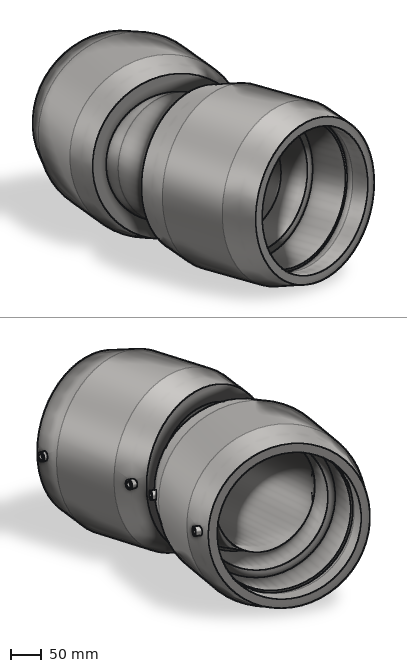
import cadquery as cq
import math

bend_angle = 24.0
neck_tilt = bend_angle / 2
bend_leg = 299.0

socket_length = 257.0
socket_diameter = 312.0
mouth_diameter = 281.0
taper_length = 61.0

bore_diameter = 250.0
bore_depth = 124.0
groove_start = 34.5
groove_end = 50.5
groove_diameter = 258.0
throat_diameter = 225.0
throat_end = 233.0

neck_diameter = 219.0
neck_bore = 192.0
neck_setback = 3.0
nozzle_length = 94.5

pin_diameter = 16.5
pin_recess_diameter = 10.0
pin_recess_depth = 6.0
pin_inset = 25.0
pin_root_radius = 135.5
pin_top_radius = socket_diameter / 2

y_axis = cq.Vector(0, 1, 0)
tilt = math.radians(neck_tilt)
neck_direction = cq.Vector(math.cos(tilt), math.sin(tilt), 0)
face_centre = cq.Vector(socket_length, 0, 0)
face_to_middle = (bend_leg - socket_length) * math.cos(tilt)
neck_start = face_centre + neck_direction * neck_setback
neck_length = 2 * (face_to_middle - neck_setback)
nozzle_tip = neck_start - neck_direction * nozzle_length
mirror_plane = cq.Plane(
    origin=face_centre + neck_direction * face_to_middle, xDir=(0, 0, 1), normal=neck_direction
)


def cylinder(diameter, start, direction, length):
    return cq.Workplane(cq.Solid.makeCylinder(diameter / 2, length, start, direction))


def neck_cone(tip_diameter, root_diameter):
    """Cone along the neck axis, from the nozzle tip to the start of the neck."""
    return cq.Workplane(
        cq.Solid.makeCone(tip_diameter / 2, root_diameter / 2, nozzle_length, nozzle_tip, neck_direction)
    )


def revolve_about_x(profile):
    return cq.Workplane("XY").polyline(profile).close().revolve(360, (0, 0, 0), (1, 0, 0))


def socket_shell():
    """Solid barrel with a taper at each end."""
    return revolve_about_x([
        (0, 0),
        (0, mouth_diameter / 2),
        (taper_length, socket_diameter / 2),
        (socket_length - taper_length, socket_diameter / 2),
        (socket_length, mouth_diameter / 2),
        (socket_length, 0),
    ])


def socket_cavity():
    """Bore with its groove ramping outward to a square wall, then the throat."""
    return revolve_about_x([
        (0, 0),
        (0, bore_diameter / 2),
        (groove_start, bore_diameter / 2),
        (groove_end, groove_diameter / 2),
        (groove_end, bore_diameter / 2),
        (bore_depth, bore_diameter / 2),
        (bore_depth, throat_diameter / 2),
        (throat_end, throat_diameter / 2),
        (throat_end, 0),
    ])


def pin(x):
    """Terminal pin along +Y: a post with a round recess in its top."""
    post = cylinder(pin_diameter, cq.Vector(x, pin_root_radius, 0), y_axis, pin_top_radius - pin_root_radius)
    recess_floor = cq.Vector(x, pin_top_radius - pin_recess_depth, 0)
    recess = cylinder(pin_recess_diameter, recess_floor, y_axis, pin_recess_depth)
    return post.cut(recess)


def socket():
    """One socket with its flare, and the nozzle left standing in its throat, before the neck bore."""
    flare = neck_cone(bore_diameter, neck_diameter)
    nozzle = neck_cone(neck_bore, throat_diameter)
    body = socket_shell().union(flare).cut(socket_cavity().cut(nozzle))
    for x in (pin_inset, socket_length - pin_inset):
        body = body.union(pin(x))
    return body


def mirrored(body):
    """Copy of a body reflected in the plane that bisects the bend."""
    location = cq.Location(mirror_plane)
    return cq.Workplane(body.val().moved(location.inverse).mirror("XY").moved(location))


first_socket = socket()
neck = cylinder(neck_diameter, neck_start, neck_direction, neck_length)
through_bore = cylinder(neck_bore, nozzle_tip, neck_direction, neck_length + 2 * nozzle_length)
result = first_socket.union(neck).union(mirrored(first_socket)).cut(through_bore)